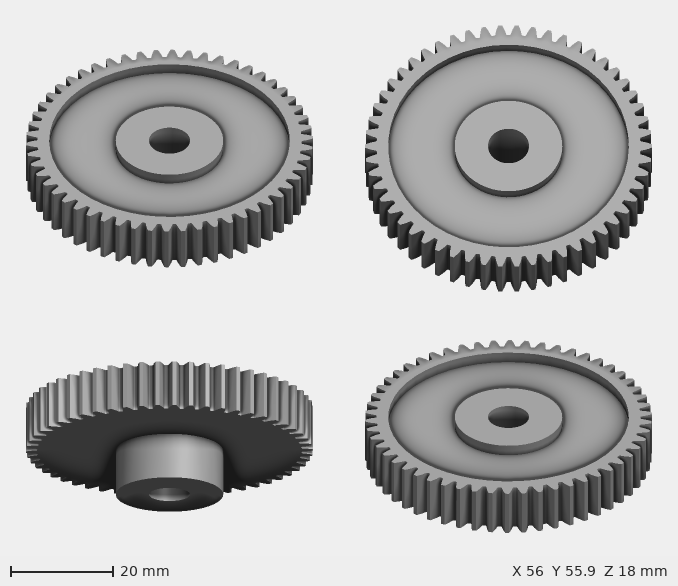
import cadquery as cq
import math

tip_diameter = 56.0
tooth_count = 54
module = tip_diameter / (tooth_count + 2)
pressure_angle = math.radians(20)
dedendum_factor = 1.25
root_fillet_factor = 0.3

tip_radius = tip_diameter / 2
pitch_radius = module * tooth_count / 2
root_radius = pitch_radius - dedendum_factor * module
base_radius = pitch_radius * math.cos(pressure_angle)
root_fillet = root_fillet_factor * module
tooth_pitch = 2 * math.pi / tooth_count
flank_points = 5

total_height = 18.0
rim_height = 9.0
hub_height = total_height - rim_height
hub_diameter = 21.0
bore_diameter = 8.0
recess_diameter = 47.0
recess_depth = 2.2


def polar(radius, angle):
    return (radius * math.cos(angle), radius * math.sin(angle))


def involute_angle(radius):
    """Polar angle of the involute of the base circle at the given radius."""
    pressure = math.acos(base_radius / radius)
    return math.tan(pressure) - pressure


def half_tooth_angle(radius):
    """Half the angular thickness of a tooth; it is half a pitch wide on the pitch circle."""
    return tooth_pitch / 4 + involute_angle(pitch_radius) - involute_angle(radius)


def gear_outline():
    """Closed outline of the toothed rim, with the first tooth centred on +X."""
    step = (tip_radius - root_radius) / (flank_points - 1)
    flank_radii = [root_radius + i * step for i in range(flank_points)]
    root_half_angle = half_tooth_angle(root_radius)
    outline = cq.Workplane("XY").moveTo(*polar(root_radius, -root_half_angle))
    for tooth in range(tooth_count):
        center = tooth * tooth_pitch
        rising = [polar(r, center - half_tooth_angle(r)) for r in flank_radii]
        falling = [polar(r, center + half_tooth_angle(r)) for r in reversed(flank_radii)]
        gap_middle = polar(root_radius, center + tooth_pitch / 2)
        next_tooth = polar(root_radius, center + tooth_pitch - root_half_angle)
        outline = (
            outline.spline(rising[1:], includeCurrent=True)
            .threePointArc(polar(tip_radius, center), falling[0])
            .spline(falling[1:], includeCurrent=True)
            .threePointArc(gap_middle, next_tooth)
        )
    return outline.close()


def toothed_rim():
    """Gear disc with the corners at the bottom of every tooth gap rounded."""
    disc = gear_outline().extrude(rim_height)
    root_corners = [
        edge for edge in disc.edges("|Z").vals()
        if math.hypot(edge.Center().x, edge.Center().y) < pitch_radius
    ]
    return disc.newObject(root_corners).fillet(root_fillet)


def hub():
    """Boss below the disc."""
    return cq.Workplane("XY").circle(hub_diameter / 2).extrude(-hub_height)


def recess():
    """Shallow ring cut into the top face, leaving the hub flush with the rim."""
    return (
        cq.Workplane("XY", origin=(0, 0, rim_height))
        .circle(recess_diameter / 2)
        .circle(hub_diameter / 2)
        .extrude(-recess_depth)
    )


def bore():
    """Hole through the disc and the hub."""
    return (
        cq.Workplane("XY", origin=(0, 0, -hub_height))
        .circle(bore_diameter / 2)
        .extrude(total_height)
    )


result = toothed_rim().union(hub()).cut(recess()).cut(bore())